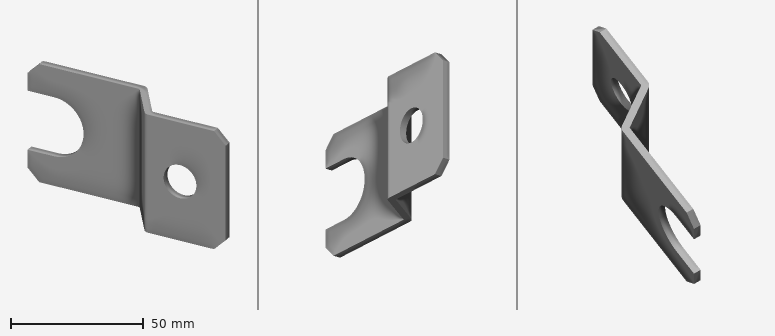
import cadquery as cq
import math

length = 94.0
depth = 20.0
height = 50.0
thickness = 3.0

rear_bend_x = 47.9
front_bend_x = 61.0

corner_chamfer = 5.0
slot_width = 25.0
slot_end_x = 24.0
hole_diameter = 14.0
hole_x = 74.45

rear_bend_y = depth - thickness
front_bend_y = thickness
bend_run = front_bend_x - rear_bend_x
bend_drop = rear_bend_y - front_bend_y
corner_distance = math.hypot(bend_run, bend_drop)
web_angle = math.atan2(bend_drop, bend_run) + math.asin(thickness / corner_distance)


def rear_arc_point(turn):
    """Point on the outer rear bend, turned clockwise from +Y."""
    return (rear_bend_x + thickness * math.sin(turn), rear_bend_y + thickness * math.cos(turn))


def front_arc_point(turn):
    """Point on the outer front bend, turned clockwise from -Y."""
    return (front_bend_x - thickness * math.sin(turn), front_bend_y - thickness * math.cos(turn))


def bent_sheet():
    """Z-bent strip, extruded upward from its profile in XY."""
    return (
        cq.Workplane("XY")
        .moveTo(0, depth)
        .lineTo(*rear_arc_point(0))
        .threePointArc(rear_arc_point(web_angle / 2), rear_arc_point(web_angle))
        .lineTo(front_bend_x, front_bend_y)
        .lineTo(length, thickness)
        .lineTo(length, 0)
        .lineTo(*front_arc_point(0))
        .threePointArc(front_arc_point(web_angle / 2), front_arc_point(web_angle))
        .lineTo(rear_bend_x, rear_bend_y)
        .lineTo(0, rear_bend_y)
        .close()
        .extrude(height)
    )


def open_slot():
    """Round-ended slot, open at the left end of the sheet."""
    radius = slot_width / 2
    center_x = slot_end_x - radius
    straight = (
        cq.Workplane("XY")
        .box(center_x, depth, slot_width, centered=(False, False, True))
        .translate((0, 0, height / 2))
    )
    return straight.union(round_cutter(center_x, slot_width))


def round_cutter(x, diameter):
    """Cylinder along Y at mid height, through the full depth."""
    return (
        cq.Workplane("XZ")
        .center(x, height / 2)
        .circle(diameter / 2)
        .extrude(-depth)
    )


sheet = bent_sheet()
chamfered = sheet.faces("<X or >X").edges("|Y").chamfer(corner_chamfer)
result = chamfered.cut(open_slot()).cut(round_cutter(hole_x, hole_diameter))